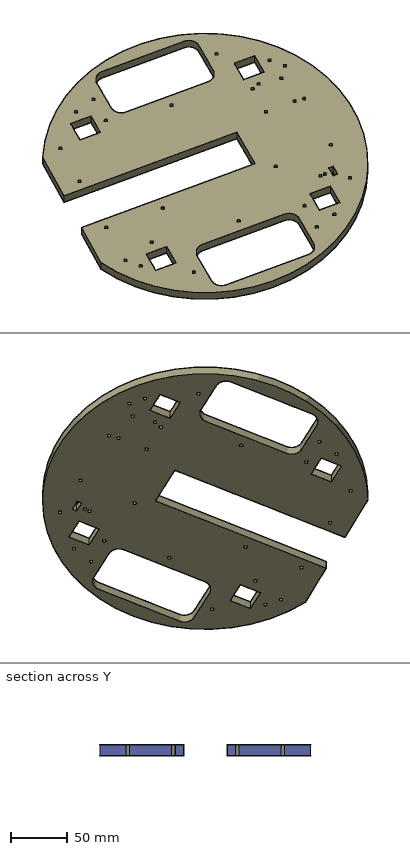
import cadquery as cq
import math

plate_radius = 145.0
plate_thickness = 10.0
chord_left_y = -128.8
chord_right_y = -131.0

slot_left_x = -19.5
slot_right_x = 19.0
slot_end_y = 40.0

window_width = 50.0
window_length = 100.0
window_corner_radius = 10.0
window_center_x = 106.5

square_side = 20.0
square_center = 80.3
square_hole_offset = square_side

opening_width = 9.5
opening_height = 4.4
opening_x = 56.0
opening_y = 99.8
opening_hole_gap = 8.0
opening_hole_pitch = 4.4

hole_diameter = 3.0
row_y = 110.2
row_inner_x = 28.5
row_outer_x = 69.0
middle_hole_x = 71.3
window_hole_y = 60.3
slot_hole_x = 30.0
slot_hole_y = 55.5
grid_center = (-43.5, 87.3)
grid_pitch = 28.0


def mirrored(x, y):
    """Four points mirrored about both the X and Y axes."""
    return [(sx * x, sy * y) for sx in (-1, 1) for sy in (-1, 1)]


def turned(x, y):
    """Four points made by quarter turns about the plate centre."""
    return [(x, y), (y, -x), (-x, -y), (-y, x)]


def rim_x(y):
    """Distance from the Y axis to the round rim at height y."""
    return math.sqrt(plate_radius**2 - y**2)


def make_plate():
    return (
        cq.Workplane("XY")
        .moveTo(-rim_x(chord_left_y), chord_left_y)
        .threePointArc((0, plate_radius), (rim_x(chord_right_y), chord_right_y))
        .close()
        .extrude(plate_thickness)
    )


def box_cutter(points, width, height):
    return cq.Workplane("XY").pushPoints(points).rect(width, height).extrude(plate_thickness)


def make_slot():
    slot_width = slot_right_x - slot_left_x
    slot_length = slot_end_y + plate_radius
    center = ((slot_left_x + slot_right_x) / 2, slot_end_y - slot_length / 2)
    return box_cutter([center], slot_width, slot_length)


def make_windows():
    centers = [(-window_center_x, 0), (window_center_x, 0)]
    windows = box_cutter(centers, window_width, window_length)
    return windows.edges("|Z").fillet(window_corner_radius)


def make_squares():
    return box_cutter(mirrored(square_center, square_center), square_side, square_side)


def make_opening():
    return box_cutter([(opening_x, opening_y)], opening_width, opening_height)


def hole_points():
    points = mirrored(row_inner_x, row_y) + mirrored(row_outer_x, row_y)
    points += [(-middle_hole_x, 0), (middle_hole_x, 0)]
    points += mirrored(window_center_x, window_hole_y)
    points += [(slot_hole_x, -slot_hole_y), (slot_hole_x, slot_hole_y)]

    points += turned(-square_center, square_center + square_hole_offset)
    points += turned(-square_center + square_hole_offset, square_center)

    grid_x, grid_y = grid_center
    points += [(grid_x + x, grid_y + y) for x, y in mirrored(grid_pitch / 2, grid_pitch / 2)]

    first_y = opening_y - opening_hole_gap
    points += [(opening_x, first_y), (opening_x, first_y - opening_hole_pitch)]
    return points


def make_holes():
    return (
        cq.Workplane("XY")
        .pushPoints(hole_points())
        .circle(hole_diameter / 2)
        .extrude(plate_thickness)
    )


result = make_plate()
for cutter in (make_slot(), make_windows(), make_squares(), make_opening(), make_holes()):
    result = result.cut(cutter)